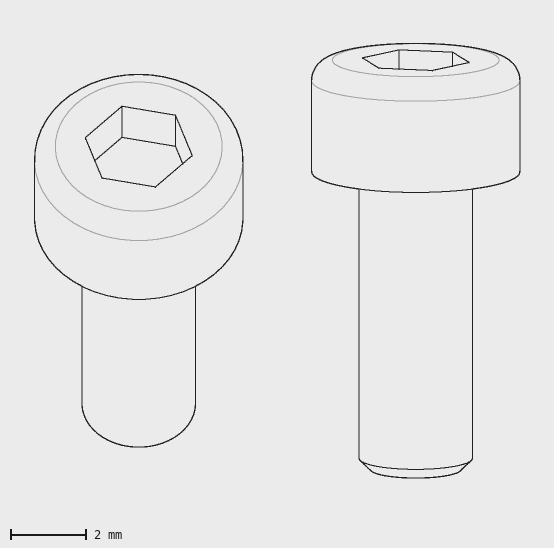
import cadquery as cq
import math

total_length = 11.0
head_diameter = 5.5
head_height = 3.0
head_fillet = 0.55
shank_diameter = 3.0
shank_length = total_length - head_height
tip_chamfer = 0.3
socket_across_flats = 2.5
socket_depth = 1.3


def make_head():
    """Cylindrical head with a rounded top rim."""
    head = cq.Workplane("XY").circle(head_diameter / 2).extrude(head_height)
    return head.faces(">Z").edges().fillet(head_fillet)


def make_shank():
    """Plain shank below the head with a chamfered tip."""
    shank = cq.Workplane("XY").circle(shank_diameter / 2).extrude(-shank_length)
    return shank.faces("<Z").edges().chamfer(tip_chamfer)


def make_socket():
    """Hexagonal drive socket volume, with two corners on the X axis."""
    across_corners = socket_across_flats / math.cos(math.pi / 6)
    top = cq.Workplane("XY").workplane(offset=head_height)
    return top.polygon(6, across_corners).extrude(-socket_depth)


result = make_head().union(make_shank()).cut(make_socket())